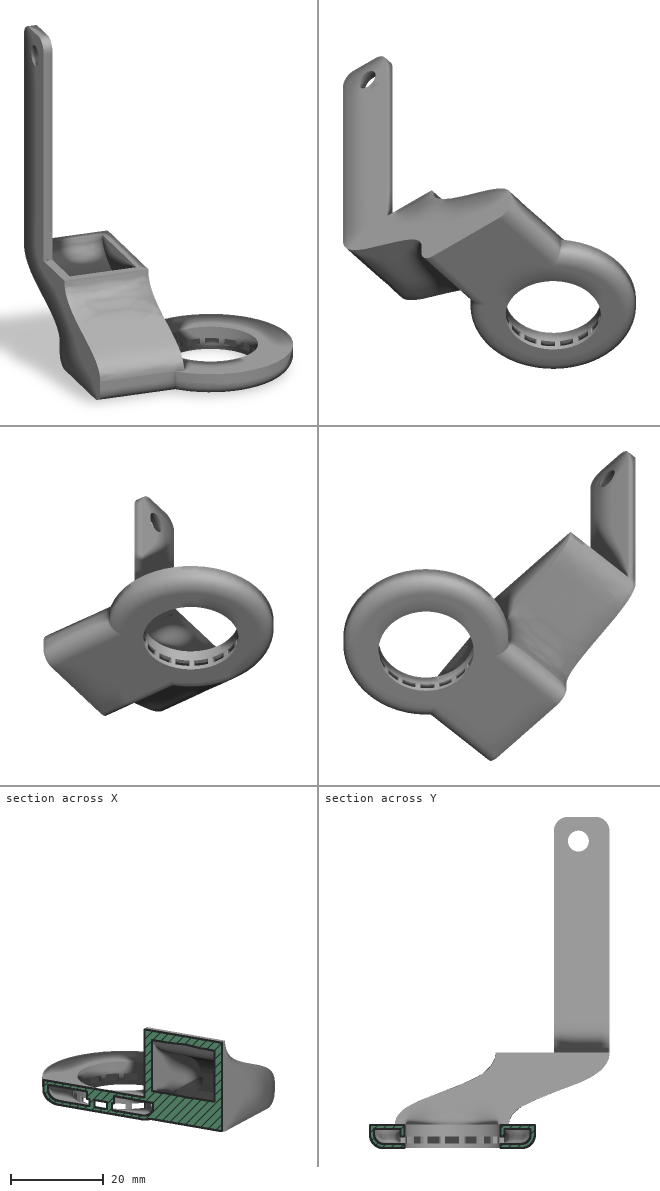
import cadquery as cq

wall = 2.0
base_height = 5.1
edge_radius = 3.0

duct_width = 24.5
duct_depth = 19.3
duct_top = 20.5
duct_shift = 21.65
bend_handle_top = 8.2
bend_handle_bottom = 6.9

ring_radius = 17.8
bore_diameter = 20.5
ring_x = 33.85
ring_y = 30.05
ring_wall = 1.0

window_count = 16
window_width = 3.0
window_bottom = ring_wall
window_height = 1.5

arm_width = 12.0
arm_thickness = 2.1
arm_top = 71.25
arm_corner_radius = 3.0
arm_hole_diameter = 4.5
arm_hole_x = 6.7
arm_hole_z = 66.05


def bend_points(x_top, x_bottom, z_top, z_bottom):
    """Control points of an S-bend that starts and ends vertical."""
    return [
        (x_top, z_top),
        (x_top, z_top - bend_handle_top),
        (x_bottom, z_bottom + bend_handle_bottom),
        (x_bottom, z_bottom),
    ]


def make_duct():
    """Solid S-bent duct body with rounded lower corners."""
    left = bend_points(0, duct_shift, duct_top, base_height)
    right = bend_points(duct_width, duct_shift + duct_width, duct_top, base_height)
    return (
        cq.Workplane("XZ")
        .moveTo(*left[0])
        .bezier(left)
        .lineTo(duct_shift, 0)
        .lineTo(duct_shift + duct_width, 0)
        .lineTo(*right[-1])
        .bezier(right[::-1])
        .close()
        .extrude(-duct_depth)
        .edges("|Y and <Z")
        .fillet(edge_radius)
    )


def make_duct_cavity():
    """Air passage through the duct, open at the top."""
    x_left = duct_shift + wall
    x_right = duct_shift + duct_width - wall
    left = bend_points(wall, x_left, duct_top, base_height)
    right = bend_points(duct_width - wall, x_right, duct_top, base_height)
    return (
        cq.Workplane("XZ", origin=(0, wall, 0))
        .moveTo(*left[0])
        .bezier(left)
        .lineTo(x_left, ring_wall)
        .lineTo(x_right, ring_wall)
        .lineTo(*right[-1])
        .bezier(right[::-1])
        .close()
        .extrude(-(duct_depth - 2 * wall))
    )


def make_ring():
    """Solid outlet disc with a rounded lower rim."""
    return (
        cq.Workplane("XY", origin=(ring_x, ring_y, 0))
        .circle(ring_radius)
        .extrude(base_height)
        .faces("<Z")
        .edges()
        .fillet(edge_radius)
    )


def make_ring_cavity():
    """Annular air channel inside the ring."""
    channel = (
        cq.Workplane("XY", origin=(ring_x, ring_y, ring_wall))
        .circle(ring_radius - ring_wall)
        .extrude(base_height - 2 * ring_wall)
        .faces("<Z")
        .edges()
        .fillet(edge_radius - ring_wall)
    )
    core = (
        cq.Workplane("XY", origin=(ring_x, ring_y, 0))
        .circle(bore_diameter / 2 + ring_wall)
        .extrude(base_height)
    )
    return channel.cut(core)


def make_windows():
    """Cutters for the evenly spaced windows that open the channel to the bore."""
    return (
        cq.Workplane("XY", origin=(ring_x, ring_y, window_bottom))
        .polarArray(bore_diameter / 2 + ring_wall / 2, 0, 360, window_count)
        .rect(2 * ring_wall, window_width)
        .extrude(window_height)
    )


def make_arm():
    """Flat arm with rounded top corners and a screw hole."""
    arm = (
        cq.Workplane("XY", origin=(0, 0, duct_top))
        .box(arm_width, arm_thickness, arm_top - duct_top, centered=False)
        .edges("|Y and >Z")
        .fillet(arm_corner_radius)
    )
    hole = (
        cq.Workplane("XZ", origin=(arm_hole_x, 0, arm_hole_z))
        .circle(arm_hole_diameter / 2)
        .extrude(-arm_thickness)
    )
    return arm.cut(hole)


bore = (
    cq.Workplane("XY", origin=(ring_x, ring_y, 0))
    .circle(bore_diameter / 2)
    .extrude(base_height)
)

result = (
    make_duct()
    .union(make_ring())
    .cut(make_duct_cavity())
    .cut(make_ring_cavity())
    .cut(bore)
    .cut(make_windows())
    .union(make_arm())
)